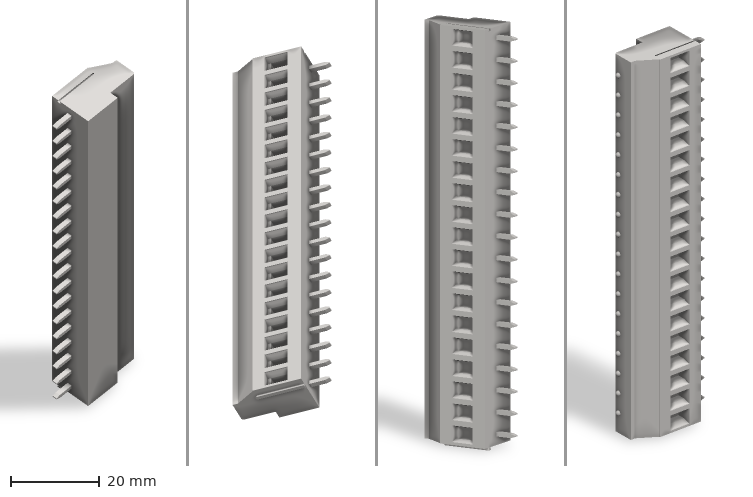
import cadquery as cq

pole_count = 19
total_height = 97.1
body_height = 96.4
pitch = body_height / pole_count
body_width = 11.2
body_depth = 17.9

wire_face_depth = 11.85
ledge_depth = 9.7
tower_left = 3.1
tower_right = 8.9
slope_start = 0.2
slope_end_depth = 16.6
back_corner_chamfer = 0.4

joint_x = 2.1
tongue_height = total_height - body_height
tongue_root_width = 0.4
tongue_tip_width = 1.0
tongue_lip = 0.2

pocket_front = 3.3
pocket_width = 5.5
pocket_height = 3.9
pocket_narrowing = 0.53
pocket_lip_depth = 0.3
pocket_step = 0.8
entry_depth = 1.9
pocket_depth = 3.9

pin_x = 5.4
pin_width = 1.3
pin_thickness = 1.0
pin_length = 5.0
pin_tip_length = 1.1
pin_tip_thickness = 0.3

stud_x = 7.5
stud_radius = 0.7


def make_body():
    """Housing with a sloped left shoulder and a ledge on the right."""
    outline = [
        (0, 0),
        (body_width, 0),
        (body_width, ledge_depth),
        (tower_right, ledge_depth),
        (tower_right, body_depth - back_corner_chamfer),
        (tower_right - back_corner_chamfer, body_depth),
        (tower_left, body_depth),
        (tower_left, slope_end_depth),
        (slope_start, wire_face_depth),
        (0, wire_face_depth),
    ]
    return cq.Workplane("XY").polyline(outline).close().extrude(body_height)


def make_joint(top):
    """Dovetail bar with a straight lip and a rounded end, hanging below the plane z = top."""
    root_radius = tongue_root_width / 2
    tip_radius = tongue_tip_width / 2
    lip_top = top - tongue_height + tongue_lip
    bottom = top - tongue_height
    half_section = [
        (0, top),
        (root_radius, top),
        (tip_radius, lip_top),
        (tip_radius, bottom),
        (0, bottom),
    ]
    end_y = wire_face_depth - tip_radius
    plane = cq.Workplane("XZ", origin=(joint_x, end_y, 0))
    half_bar = plane.polyline(half_section).close().extrude(end_y)
    bar = half_bar.union(half_bar.mirror("YZ", (joint_x, 0, 0)))
    rounded_end = plane.polyline(half_section).close().revolve(360, (0, 0), (0, 1))
    return bar.union(rounded_end)


def make_pocket(z_center):
    """Wire entry from the left face: straight lip, funnel, then a blind hole behind a step at its back."""
    entry_center = pocket_front + pocket_width / 2
    inner_height = pocket_height - 2 * pocket_narrowing
    lip = (
        cq.Workplane("YZ", origin=(0, entry_center, z_center))
        .rect(pocket_width, pocket_height)
        .extrude(pocket_lip_depth)
    )
    funnel = (
        cq.Workplane("YZ", origin=(pocket_lip_depth, entry_center, z_center))
        .rect(pocket_width, pocket_height)
        .workplane(offset=entry_depth - pocket_lip_depth)
        .rect(pocket_width, inner_height)
        .loft(ruled=True)
    )
    hole = (
        cq.Workplane("YZ", origin=(0, entry_center - pocket_step / 2, z_center))
        .rect(pocket_width - pocket_step, inner_height)
        .extrude(pocket_depth)
    )
    return lip.union(funnel).union(hole)


def make_pin(z_center):
    """Flat pin whose end tapers in thickness."""
    shoulder = pin_tip_length - pin_length
    half = pin_thickness / 2
    half_tip = pin_tip_thickness / 2
    side = [
        (0, z_center - half),
        (shoulder, z_center - half),
        (-pin_length, z_center - half_tip),
        (-pin_length, z_center + half_tip),
        (shoulder, z_center + half),
        (0, z_center + half),
    ]
    start = cq.Workplane("YZ", origin=(pin_x - pin_width / 2, 0, 0))
    return start.polyline(side).close().extrude(pin_width)


def make_stud(z_center):
    """Ball half sunk into the back face."""
    return cq.Workplane("XY", origin=(stud_x, body_depth, z_center)).sphere(stud_radius)


result = make_body().union(make_joint(0)).cut(make_joint(body_height))

for pole in range(pole_count):
    pole_center = (pole + 0.5) * pitch
    result = result.cut(make_pocket(pole_center))
    result = result.union(make_pin(pole_center))

for boundary in range(1, pole_count):
    result = result.union(make_stud(boundary * pitch))